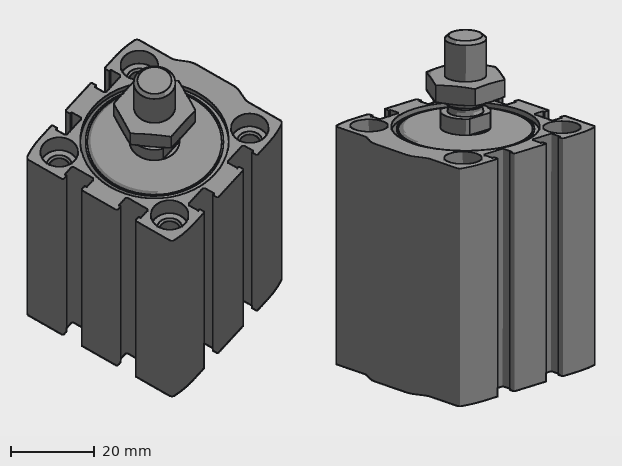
import cadquery as cq
import math

total_height = 83.0

housing_height = 60.0
half_width = 22.5
bow_start = 15.4
bow_radius = 25.0
corner_radius = 1.0

pad_reach = 24.5
pad_base_half_width = 10.7
pad_top_half_width = 6.6
pad_base_radius = 3.7
pad_top_radius = 6.0

slot_offset = 8.0
slot_mouth_width = 5.3
slot_inner_width = 6.5
slot_depth = 4.6
slot_lip = 1.5
slot_lip_radius = 0.3
slot_floor_radius = 0.5

mount_offset = 16.3
mount_hole_diameter = 4.9
counterbore_diameter = 9.0
counterbore_depth = 5.0
countersink_diameter = 6.0

cover_recess_diameter = 35.4
cover_recess_depth = 1.4
cover_ledge_outer_diameter = 32.95
cover_ledge_diameter = 32.0
cover_ledge_depth = 0.7
cover_rim_diameter = 30.55
cover_rim_depth = 0.25
cover_face_diameter = 29.7
cover_face_depth = 0.2

collar_diameter = 12.0
collar_height = 3.9
collar_across_flats = 10.0
rod_insertion = 10.0
thread_diameter = 10.0
neck_diameter = 8.1
neck_base_diameter = 8.6
neck_bottom = 0.8
neck_top = 1.6
thread_start = 2.3
tip_chamfer_height = 0.8
tip_diameter = 8.1

nut_across_flats = 17.0
nut_height = 4.7
nut_bottom = 68.2
nut_face_diameter = 16.8
nut_corner_drop = 0.25

collar_top = housing_height + collar_height
collar_radius = collar_diameter / 2
thread_radius = thread_diameter / 2
bow_rise = half_width - bow_start


def bow_x(rise):
    """Half width of the housing at a given distance beyond the start of the side curve."""
    return half_width - bow_radius + math.sqrt(bow_radius**2 - rise**2)


def housing_block():
    """Extruded housing outline with bowed sides, rounded corners and the raised +Y pad."""
    corner_x = bow_x(bow_rise)
    middle_x = bow_x(bow_rise / 2)
    middle_y = bow_start + bow_rise / 2
    block = (
        cq.Workplane("XY")
        .moveTo(-corner_x, -half_width)
        .lineTo(corner_x, -half_width)
        .threePointArc((middle_x, -middle_y), (half_width, -bow_start))
        .lineTo(half_width, bow_start)
        .threePointArc((middle_x, middle_y), (corner_x, half_width))
        .lineTo(pad_base_half_width, half_width)
        .lineTo(pad_top_half_width, pad_reach)
        .lineTo(-pad_top_half_width, pad_reach)
        .lineTo(-pad_base_half_width, half_width)
        .lineTo(-corner_x, half_width)
        .threePointArc((-middle_x, middle_y), (-half_width, bow_start))
        .lineTo(-half_width, -bow_start)
        .threePointArc((-middle_x, -middle_y), (-corner_x, -half_width))
        .close()
        .extrude(housing_height)
    )
    rounded_edges = [
        (corner_x, half_width, corner_radius),
        (corner_x, -half_width, corner_radius),
        (pad_base_half_width, half_width, pad_base_radius),
        (pad_top_half_width, pad_reach, pad_top_radius),
    ]
    for x, y, radius in rounded_edges:
        for side in (-1, 1):
            edge_middle = (side * x, y, housing_height / 2)
            block = block.edges(cq.selectors.NearestToPointSelector(edge_middle)).fillet(radius)
    return block


def slot_cutter():
    """Full-height T-slot cutter for the -Y face, centred on X = 0, flared to round the lips."""
    mouth_half = slot_mouth_width / 2
    flare_half = mouth_half + slot_lip_radius
    flare_drop = slot_lip_radius * (1 - math.sqrt(0.5))
    face_y = -half_width
    flare_end_y = face_y + slot_lip_radius
    mouth_end_y = face_y + (slot_lip + slot_depth) / 2
    mouth = (
        cq.Workplane("XY")
        .moveTo(-flare_half, face_y)
        .threePointArc((-mouth_half - flare_drop, face_y + flare_drop), (-mouth_half, flare_end_y))
        .lineTo(-mouth_half, mouth_end_y)
        .lineTo(mouth_half, mouth_end_y)
        .lineTo(mouth_half, flare_end_y)
        .threePointArc((mouth_half + flare_drop, face_y + flare_drop), (flare_half, face_y))
        .close()
        .extrude(housing_height)
    )
    inner_depth = slot_depth - slot_lip
    inner = (
        cq.Workplane("XY")
        .center(0, face_y + slot_lip + inner_depth / 2)
        .rect(slot_inner_width, inner_depth)
        .extrude(housing_height)
        .edges("|Z and >Y")
        .fillet(slot_floor_radius)
    )
    return mouth.union(inner)


def cut_slots(block):
    """Two T-slots in each of the -X, -Y and +X faces."""
    for face_angle in (-90, 0, 90):
        for side in (-1, 1):
            cutter = slot_cutter().translate((side * slot_offset, 0, 0))
            block = block.cut(cutter.rotate((0, 0, 0), (0, 0, 1), face_angle))
    return block


def cut_mounting_holes(block):
    """Four counterbored through holes, countersunk at the counterbore floor."""
    counterbore_floor = housing_height - counterbore_depth
    countersink_depth = (countersink_diameter - mount_hole_diameter) / 2
    cutter = (
        cq.Workplane("XZ")
        .moveTo(0, 0)
        .lineTo(mount_hole_diameter / 2, 0)
        .lineTo(mount_hole_diameter / 2, counterbore_floor - countersink_depth)
        .lineTo(countersink_diameter / 2, counterbore_floor)
        .lineTo(counterbore_diameter / 2, counterbore_floor)
        .lineTo(counterbore_diameter / 2, housing_height)
        .lineTo(0, housing_height)
        .close()
        .revolve(360, (0, 0, 0), (0, 1, 0))
    )
    for x in (-mount_offset, mount_offset):
        for y in (-mount_offset, mount_offset):
            block = block.cut(cutter.translate((x, y, 0)))
    return block


def cut_cover_recess(block):
    """Shallow recess holding the cover face, ringed by cones with a flat ledge between them."""
    face_z = housing_height - cover_face_depth
    ledge_z = housing_height - cover_ledge_depth
    recess = (
        cq.Workplane("XZ")
        .moveTo(0, housing_height)
        .lineTo(cover_recess_diameter / 2, housing_height)
        .lineTo(cover_recess_diameter / 2, housing_height - cover_recess_depth)
        .lineTo(cover_ledge_outer_diameter / 2, ledge_z)
        .lineTo(cover_ledge_diameter / 2, ledge_z)
        .lineTo(cover_rim_diameter / 2, housing_height - cover_rim_depth)
        .lineTo(cover_face_diameter / 2, face_z)
        .lineTo(0, face_z)
        .close()
        .revolve(360, (0, 0, 0), (0, 1, 0))
    )
    return block.cut(recess)


def make_housing():
    """Cylinder housing with slots, mounting holes, cover recess and the blind rod bore."""
    block = cut_slots(housing_block())
    block = cut_mounting_holes(block)
    block = cut_cover_recess(block)
    return block.faces(">Z").workplane(origin=(0, 0, housing_height)).hole(collar_diameter, rod_insertion)


def make_rod():
    """Piston rod: collar with two wrench flats, undercut neck and threaded end."""
    rod = (
        cq.Workplane("XZ")
        .moveTo(0, housing_height - rod_insertion)
        .lineTo(collar_radius, housing_height - rod_insertion)
        .lineTo(collar_radius, collar_top)
        .lineTo(neck_base_diameter / 2, collar_top)
        .lineTo(neck_diameter / 2, collar_top + neck_bottom)
        .lineTo(neck_diameter / 2, collar_top + neck_top)
        .lineTo(thread_radius, collar_top + thread_start)
        .lineTo(thread_radius, total_height - tip_chamfer_height)
        .lineTo(tip_diameter / 2, total_height)
        .lineTo(0, total_height)
        .close()
        .revolve(360, (0, 0, 0), (0, 1, 0))
    )
    flat_bottom = housing_height - cover_face_depth
    flat_cut_depth = collar_radius - collar_across_flats / 2
    for side in (-1, 1):
        flat_cut = (
            cq.Workplane("XY", origin=(0, 0, flat_bottom))
            .center(side * (collar_across_flats + flat_cut_depth) / 2, 0)
            .rect(flat_cut_depth, collar_diameter)
            .extrude(collar_top - flat_bottom)
        )
        rod = rod.cut(flat_cut)
    return rod


def make_nut():
    """Hexagon nut with flats facing +X and -X, chamfered at both ends."""
    nut_corner_reach = nut_across_flats / 2 / math.cos(math.pi / 6)
    hexagon = (
        cq.Workplane("XY", origin=(0, 0, nut_bottom))
        .polygon(6, 2 * nut_corner_reach)
        .extrude(nut_height)
        .rotate((0, 0, 0), (0, 0, 1), 30)
    )
    nut_top = nut_bottom + nut_height
    envelope = (
        cq.Workplane("XZ")
        .moveTo(thread_radius, nut_bottom)
        .lineTo(nut_face_diameter / 2, nut_bottom)
        .lineTo(nut_corner_reach, nut_bottom + nut_corner_drop)
        .lineTo(nut_corner_reach, nut_top - nut_corner_drop)
        .lineTo(nut_face_diameter / 2, nut_top)
        .lineTo(thread_radius, nut_top)
        .close()
        .revolve(360, (0, 0, 0), (0, 1, 0))
    )
    return hexagon.intersect(envelope)


housing = make_housing()
rod = make_rod()
nut = make_nut()

result = cq.Compound.makeCompound([housing.val(), rod.val(), nut.val()])